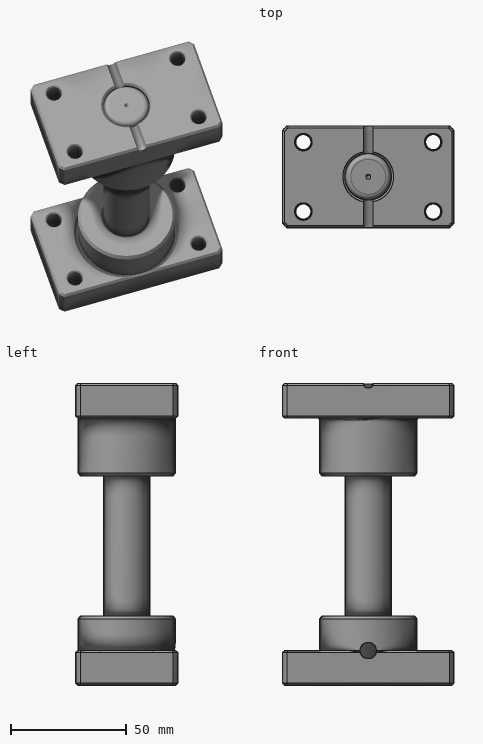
import cadquery as cq
import math

TOTAL_HEIGHT = 130.3

PLATE_LENGTH = 74.0
PLATE_WIDTH = 44.0
PLATE_THICKNESS = 15.0
CORNER_CHAMFER = 2.0
EDGE_CHAMFER = 0.9

SCREW_SPACING_X = 56.0
SCREW_SPACING_Y = 30.0
SCREW_HOLE_DIAMETER = 6.5
SCREW_HOLE_CHAMFER = 0.5

BOSS_RADIUS = 21.0
UPPER_BOSS_HEIGHT = 25.0
LOWER_BOSS_HEIGHT = 15.0
BOSS_CHAMFER_HEIGHT = 1.3
BOSS_CHAMFER_WIDTH = 1.0

ROOT_FILLET = 0.9

UNDERCUT_IN = 0.5
UNDERCUT_OUT = 0.8
UNDERCUT_DEPTH = 1.5
UNDERCUT_MOUTH = 0.9

CROSS_HOLE_RADIUS = 3.5

TOP_GROOVE_RADIUS = 2.1

PIN_RADIUS = 10.0
PIN_TOP_GAP = 0.3
PIN_TOP_FILLET = 2.5
BORE_CHAMFER = 0.9
CENTRE_DIMPLE_RADIUS = 1.0
CENTRE_DIMPLE_DEPTH = 1.0

UPPER_PLATE_BOTTOM = TOTAL_HEIGHT - PLATE_THICKNESS
UPPER_BOSS_BOTTOM = UPPER_PLATE_BOTTOM - UPPER_BOSS_HEIGHT
LOWER_BOSS_TOP = PLATE_THICKNESS + LOWER_BOSS_HEIGHT
PIN_LENGTH = TOTAL_HEIGHT - PIN_TOP_GAP


def revolve_profile(points):
    """Revolve a closed (radius, height) outline about the Z axis."""
    return cq.Workplane("XZ").polyline(points).close().revolve(360, (0, 0), (0, 1))


def make_plate(bottom):
    """Chamfered flange plate with four countersunk through holes."""
    plate = (
        cq.Workplane("XY", origin=(0, 0, bottom))
        .box(PLATE_LENGTH, PLATE_WIDTH, PLATE_THICKNESS, centered=(True, True, False))
        .edges("|Z").chamfer(CORNER_CHAMFER)
        .faces("<Z or >Z").chamfer(EDGE_CHAMFER)
    )
    return (
        plate.faces(">Z").workplane(origin=(0, 0, 0))
        .rarray(SCREW_SPACING_X, SCREW_SPACING_Y, 2, 2)
        .cskHole(SCREW_HOLE_DIAMETER, SCREW_HOLE_DIAMETER + 2 * SCREW_HOLE_CHAMFER, 90)
    )


def make_boss(root, end):
    """Round boss from its root height to its chamfered free end."""
    direction = 1 if end > root else -1
    shoulder = end - direction * BOSS_CHAMFER_HEIGHT
    return revolve_profile([
        (0, root),
        (BOSS_RADIUS, root),
        (BOSS_RADIUS, shoulder),
        (BOSS_RADIUS - BOSS_CHAMFER_WIDTH, end),
        (0, end),
    ])


def make_bore(bottom, top):
    """Cutter for a through bore with a chamfer at its upper mouth."""
    return revolve_profile([
        (0, bottom),
        (PIN_RADIUS, bottom),
        (PIN_RADIUS, top - BORE_CHAMFER),
        (PIN_RADIUS + BORE_CHAMFER, top),
        (0, top),
    ])


def make_root_fillet():
    """Concave fillet ring around the upper boss, trimmed to the flat underside of the plate."""
    centre_radius = BOSS_RADIUS + ROOT_FILLET
    centre_height = UPPER_PLATE_BOTTOM - ROOT_FILLET
    arc_offset = ROOT_FILLET * math.sqrt(0.5)
    ring = (
        cq.Workplane("XZ")
        .moveTo(0, centre_height)
        .lineTo(BOSS_RADIUS, centre_height)
        .threePointArc(
            (centre_radius - arc_offset, centre_height + arc_offset),
            (centre_radius, UPPER_PLATE_BOTTOM),
        )
        .lineTo(0, UPPER_PLATE_BOTTOM)
        .close()
        .revolve(360, (0, 0), (0, 1))
    )
    flat_width = PLATE_WIDTH - 2 * EDGE_CHAMFER
    flat_zone = (
        cq.Workplane("XY", origin=(0, 0, centre_height))
        .box(PLATE_LENGTH, flat_width, ROOT_FILLET, centered=(True, True, False))
    )
    return ring.intersect(flat_zone)


def make_undercut():
    """Cutter for the slanted ring undercut in the corner between lower boss and plate."""
    floor = PLATE_THICKNESS - UNDERCUT_DEPTH
    inner_radius = BOSS_RADIUS - UNDERCUT_IN
    outer_radius = BOSS_RADIUS + UNDERCUT_OUT
    return revolve_profile([
        (inner_radius, floor),
        (outer_radius, floor),
        (outer_radius, PLATE_THICKNESS - UNDERCUT_MOUTH),
        (outer_radius + UNDERCUT_MOUTH, PLATE_THICKNESS),
        (BOSS_RADIUS, PLATE_THICKNESS),
        (inner_radius, PLATE_THICKNESS - UNDERCUT_IN),
    ])


def make_upper_housing():
    """Upper plate and boss with the pin bore and the groove across the top."""
    groove = (
        cq.Workplane("XZ", origin=(0, 0, TOTAL_HEIGHT))
        .circle(TOP_GROOVE_RADIUS)
        .extrude(PLATE_WIDTH / 2, both=True)
    )
    return (
        make_plate(UPPER_PLATE_BOTTOM)
        .union(make_boss(UPPER_PLATE_BOTTOM, UPPER_BOSS_BOTTOM))
        .union(make_root_fillet())
        .cut(groove)
        .cut(make_bore(UPPER_BOSS_BOTTOM, TOTAL_HEIGHT))
    )


def make_lower_housing():
    """Lower plate and boss with the pin bore, undercut and cross hole."""
    cross_hole = (
        cq.Workplane("XZ", origin=(0, 0, PLATE_THICKNESS))
        .circle(CROSS_HOLE_RADIUS)
        .extrude(PLATE_WIDTH / 2)
    )
    return (
        make_plate(0)
        .union(make_boss(PLATE_THICKNESS, LOWER_BOSS_TOP))
        .cut(make_undercut())
        .cut(cross_hole)
        .cut(make_bore(0, LOWER_BOSS_TOP))
    )


def make_guide_pin():
    """Guide pin with a rounded top edge and a conical centre dimple."""
    dimple = revolve_profile([
        (0, PIN_LENGTH - CENTRE_DIMPLE_DEPTH),
        (CENTRE_DIMPLE_RADIUS, PIN_LENGTH),
        (0, PIN_LENGTH),
    ])
    return (
        cq.Workplane("XY")
        .circle(PIN_RADIUS)
        .extrude(PIN_LENGTH)
        .faces(">Z").edges().fillet(PIN_TOP_FILLET)
        .cut(dimple)
    )


upper_housing = make_upper_housing()
lower_housing = make_lower_housing()
guide_pin = make_guide_pin()

result = cq.Compound.makeCompound([
    upper_housing.val(),
    lower_housing.val(),
    guide_pin.val(),
])